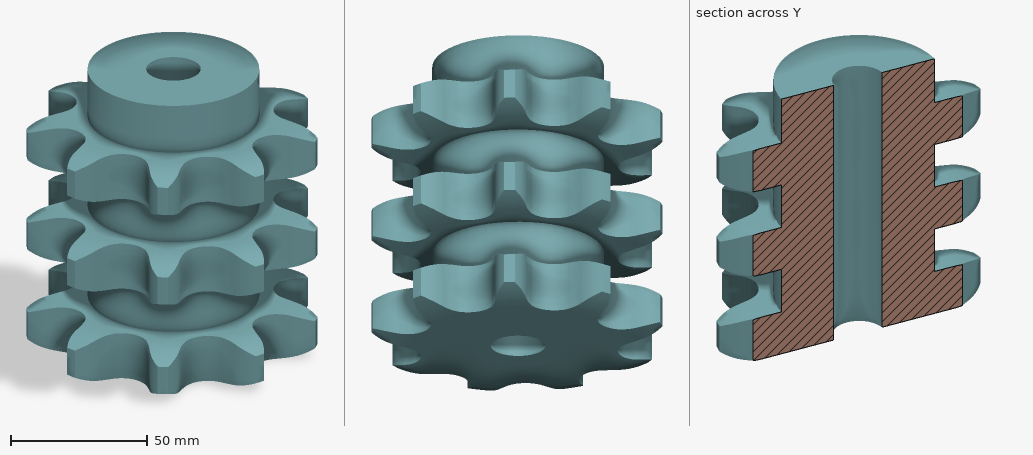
import cadquery as cq
import math

TOOTH_COUNT = 9
ROW_COUNT = 3
CHAIN_PITCH = 31.8
ROLLER_DIAMETER = 19.0
SEAT_RADIUS = 9.6
OUTER_RADIUS = 54.0
ROW_SPACING = 36.4
ROW_WIDTH = 18.3
TOTAL_HEIGHT = 110.0
HUB_DIAMETER = 63.0
BORE_DIAMETER = 20.0
RELIEF_START_RADIUS = 39.3
RELIEF_RADIUS = CHAIN_PITCH

TOOTH_ANGLE = 360 / TOOTH_COUNT
PITCH_RADIUS = CHAIN_PITCH / (2 * math.sin(math.radians(TOOTH_ANGLE / 2)))
GAP_CLEARANCE = 2.2
CLEAR_RADIUS = OUTER_RADIUS + GAP_CLEARANCE

SEAT_END_ANGLE = 35 + 60 / TOOTH_COUNT
FLANK_SWEEP = 18 - 56 / TOOTH_COUNT
FLANK_OFFSET = 0.8 * ROLLER_DIAMETER
TIP_OFFSET = 1.4 * ROLLER_DIAMETER


def polar(center, radius, angle):
    """Point at the given distance and angle (degrees) from a center."""
    turn = math.radians(angle)
    return (center[0] + radius * math.cos(turn), center[1] + radius * math.sin(turn))


def mirrored(point):
    return (-point[0], point[1])


def tooth_gap():
    """Closed outline of the gap centered on +Y, reaching past the tooth tips."""
    roller = (0, PITCH_RADIUS)

    seat_bottom = (0, PITCH_RADIUS - SEAT_RADIUS)
    seat_end = polar(roller, SEAT_RADIUS, -SEAT_END_ANGLE)

    flank_center = polar(roller, FLANK_OFFSET, 180 - SEAT_END_ANGLE)
    flank_radius = FLANK_OFFSET + SEAT_RADIUS
    flank_end_angle = SEAT_END_ANGLE - FLANK_SWEEP
    flank_middle = polar(flank_center, flank_radius, -SEAT_END_ANGLE + FLANK_SWEEP / 2)
    flank_end = polar(flank_center, flank_radius, -flank_end_angle)

    tip_center = polar(roller, TIP_OFFSET, -TOOTH_ANGLE / 2)
    line_angle = 90 - flank_end_angle
    line_turn = math.radians(line_angle)
    line_length = (
        (tip_center[0] - flank_end[0]) * math.cos(line_turn)
        + (tip_center[1] - flank_end[1]) * math.sin(line_turn)
    )
    line_end = polar(flank_end, line_length, line_angle)
    tip_radius = math.dist(tip_center, line_end)

    center_distance = math.hypot(*tip_center)
    cosine = (center_distance**2 + OUTER_RADIUS**2 - tip_radius**2) / (2 * center_distance * OUTER_RADIUS)
    tip_end_angle = math.degrees(math.atan2(tip_center[1], tip_center[0]) + math.acos(cosine))
    tip_end = polar((0, 0), OUTER_RADIUS, tip_end_angle)
    arc_start_angle = 180 - flank_end_angle
    arc_end_angle = math.degrees(math.atan2(tip_end[1] - tip_center[1], tip_end[0] - tip_center[0]))
    tip_middle = polar(tip_center, tip_radius, (arc_start_angle + arc_end_angle) / 2)
    clear_point = polar((0, 0), CLEAR_RADIUS, tip_end_angle)

    return (
        cq.Workplane("XY")
        .moveTo(*clear_point)
        .lineTo(*tip_end)
        .threePointArc(tip_middle, line_end)
        .lineTo(*flank_end)
        .threePointArc(flank_middle, seat_end)
        .threePointArc(seat_bottom, mirrored(seat_end))
        .threePointArc(mirrored(flank_middle), mirrored(flank_end))
        .lineTo(*mirrored(line_end))
        .threePointArc(mirrored(tip_middle), mirrored(tip_end))
        .lineTo(*mirrored(clear_point))
        .threePointArc((0, CLEAR_RADIUS), clear_point)
        .close()
    )


def row_blank():
    """Toothless disc whose rim is rounded toward both faces."""
    relief_length = OUTER_RADIUS - RELIEF_START_RADIUS

    def relief_depth(distance):
        return RELIEF_RADIUS - math.sqrt(RELIEF_RADIUS**2 - distance**2)

    middle_radius = RELIEF_START_RADIUS + relief_length / 2
    middle_depth = relief_depth(relief_length / 2)
    rim_depth = relief_depth(relief_length)
    return (
        cq.Workplane("XZ")
        .lineTo(RELIEF_START_RADIUS, 0)
        .threePointArc((middle_radius, middle_depth), (OUTER_RADIUS, rim_depth))
        .lineTo(OUTER_RADIUS, ROW_WIDTH - rim_depth)
        .threePointArc((middle_radius, ROW_WIDTH - middle_depth), (RELIEF_START_RADIUS, ROW_WIDTH))
        .lineTo(0, ROW_WIDTH)
        .close()
        .revolve(360, (0, 0, 0), (0, 1, 0))
    )


def sprocket_row():
    """One toothed row standing on Z = 0, with a gap on +Y and a tooth on -Y."""
    row = row_blank()
    gap = tooth_gap().extrude(ROW_WIDTH)
    for index in range(TOOTH_COUNT):
        row = row.cut(gap.rotate((0, 0, 0), (0, 0, 1), index * TOOTH_ANGLE))
    return row


result = cq.Workplane("XY").circle(HUB_DIAMETER / 2).extrude(TOTAL_HEIGHT)
row = sprocket_row()
for index in range(ROW_COUNT):
    result = result.union(row.translate((0, 0, index * ROW_SPACING)))
bore = cq.Workplane("XY").circle(BORE_DIAMETER / 2).extrude(TOTAL_HEIGHT)
result = result.cut(bore)